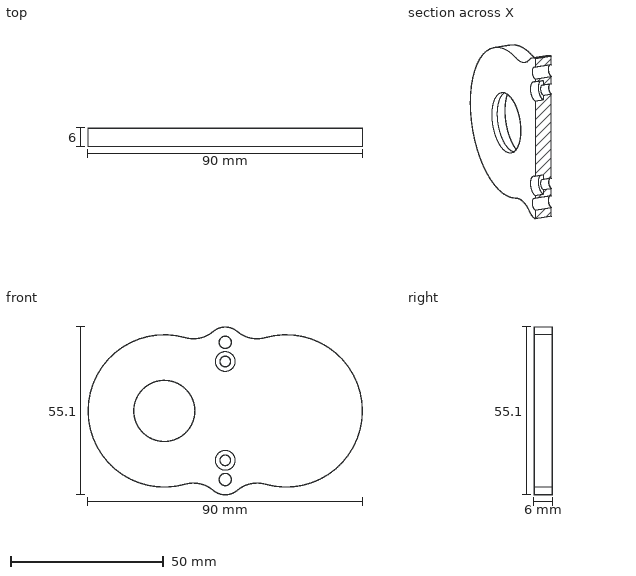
import cadquery as cq
import math

thickness = 6.0
length = 90.0
height = 55.1
lobe_radius = 25.0
lobe_offset = length / 2 - lobe_radius
ear_radius = 6.0
ear_offset = height / 2 - ear_radius
blend_radius = 10.0

window_diameter = 20.0
window_recess_diameter = 24.1
window_lip = 2.0

ear_hole_diameter = 4.0
screw_hole_diameter = 3.4
screw_head_diameter = 6.5
screw_head_depth = 3.0
ear_hole_offset = 22.5
screw_offset = 16.2


def point_towards(start, end, distance):
    """Point at the given distance from start on the line to end."""
    span = math.dist(start, end)
    return tuple(a + (b - a) * distance / span for a, b in zip(start, end))


def blend_centre():
    """Centre of the upper right concave arc, tangent to the lobe and the ear."""
    to_lobe = lobe_radius + blend_radius
    to_ear = ear_radius + blend_radius
    span = math.hypot(lobe_offset, ear_offset)
    lobe_angle = math.atan2(ear_offset, -lobe_offset)
    cosine = (to_lobe**2 + span**2 - to_ear**2) / (2 * to_lobe * span)
    angle = lobe_angle - math.acos(cosine)
    return lobe_offset + to_lobe * math.cos(angle), to_lobe * math.sin(angle)


def make_plate():
    ear = (0, ear_offset)
    blend = blend_centre()
    lobe_end = point_towards((lobe_offset, 0), blend, lobe_radius)
    ear_end = point_towards(ear, blend, ear_radius)
    blend_middle = point_towards(blend, (blend[0], 0), blend_radius)
    x_lobe, z_lobe = lobe_end
    x_ear, z_ear = ear_end
    x_mid, z_mid = blend_middle
    return (
        cq.Workplane("XZ")
        .moveTo(x_lobe, -z_lobe)
        .threePointArc((length / 2, 0), (x_lobe, z_lobe))
        .threePointArc((x_mid, z_mid), (x_ear, z_ear))
        .threePointArc((0, height / 2), (-x_ear, z_ear))
        .threePointArc((-x_mid, z_mid), (-x_lobe, z_lobe))
        .threePointArc((-length / 2, 0), (-x_lobe, -z_lobe))
        .threePointArc((-x_mid, -z_mid), (-x_ear, -z_ear))
        .threePointArc((0, -height / 2), (x_ear, -z_ear))
        .threePointArc((x_mid, -z_mid), (x_lobe, -z_lobe))
        .close()
        .extrude(thickness / 2, both=True)
    )


def bore(x, z, diameter, front_depth, back_depth):
    """Cylinder along Y between two depths below the front face."""
    return (
        cq.Workplane("XZ", origin=(0, front_depth - thickness / 2, 0))
        .center(x, z)
        .circle(diameter / 2)
        .extrude(front_depth - back_depth)
    )


result = make_plate()

result = result.cut(bore(-lobe_offset, 0, window_diameter, 0, thickness))
result = result.cut(bore(-lobe_offset, 0, window_recess_diameter, window_lip, thickness))

for side in (1, -1):
    result = result.cut(bore(0, side * ear_hole_offset, ear_hole_diameter, 0, thickness))
    result = result.cut(bore(0, side * screw_offset, screw_hole_diameter, 0, thickness))
    result = result.cut(bore(0, side * screw_offset, screw_head_diameter, 0, screw_head_depth))